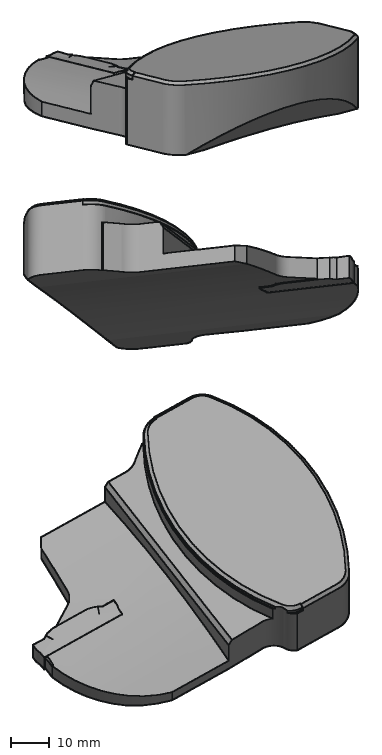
import cadquery as cq
import math

total_length = 85.9
head_height = 19.5
head_width = 70.0
head_half_width = head_width / 2
head_center_x = 65.9
head_side_radius = 60.0
head_corner_radius = 6.0
rim_chamfer_height = 0.8
rim_chamfer_width = 0.95
rim_step_depth = 1.8
rim_inset = 0.3
rim_inset_end_x = 60.4
bottom_bevel = 9.2

step_x = 40.7
step_height = 13.0
step_chamfer_run = 1.0
step_chamfer_drop = 1.6
back_y = 28.1
front_y = -30.0
neck_front_y = -29.65
blend_start_x = 50.5
blend_middle = (56.1, -32.3)
blend_end_x = 58.6

plate_crown = 7.0
plate_top_radius = 150.0
underside_crown = 1.5
underside_radius = 214.8
plate_tip_x = 0.8
plate_nose_start_y = -7.7
nose_chamfer_run = 0.7
nose_chamfer_drop = 0.4

insert_length = 25.0
insert_bottom = 1.2
insert_top = 7.0
insert_front_y = -4.55
insert_edge_y = 0.2
insert_crest_y = 1.7
tip_rise = 0.3
tip_line_start = (0.6, -3.3)
tip_line_end = (5.3, -1.1)


def head_outline(inset=0.0):
    """Two opposed arcs closed by two flats, moved inward by inset."""
    half_width = head_half_width - inset
    apex = total_length - head_center_x - inset
    radius = head_side_radius - inset
    end = apex - radius + math.sqrt(radius**2 - half_width**2)
    prism = (
        cq.Workplane("XY")
        .moveTo(head_center_x - end, -half_width)
        .lineTo(head_center_x + end, -half_width)
        .threePointArc((head_center_x + apex, 0), (head_center_x + end, half_width))
        .lineTo(head_center_x - end, half_width)
        .threePointArc((head_center_x - apex, 0), (head_center_x - end, -half_width))
        .close()
        .extrude(head_height)
    )
    return prism.edges("|Z").fillet(head_corner_radius - inset)


def left_part(solid):
    """Keep only the portion on the plate side of the rim inset end."""
    keeper = cq.Workplane("XY").box(
        rim_inset_end_x, 2 * total_length, 2 * head_height, centered=(False, True, True)
    )
    return solid.intersect(keeper)


def make_head():
    chamfered = head_outline().faces(">Z").chamfer(rim_chamfer_height, rim_chamfer_width)
    inset_rim = head_outline(rim_inset).faces(">Z").chamfer(rim_chamfer_height, rim_chamfer_width)
    step_z = head_height - rim_step_depth
    upper_left = left_part(
        cq.Workplane("XY", origin=(0, 0, step_z)).rect(3 * total_length, 3 * total_length)
        .extrude(rim_step_depth)
    )
    head = chamfered.cut(upper_left).union(inset_rim.intersect(upper_left))
    bevel = (
        cq.Workplane("XZ")
        .moveTo(total_length - bottom_bevel, 0)
        .lineTo(total_length, 0)
        .lineTo(total_length, bottom_bevel)
        .close()
        .extrude(total_length, both=True)
    )
    return head.cut(bevel)


def make_step():
    """Raised neck that runs from the plate into the head."""
    neck = (
        cq.Workplane("XY")
        .moveTo(step_x, front_y)
        .lineTo(blend_start_x, neck_front_y)
        .lineTo(blend_start_x, blend_middle[1])
        .lineTo(head_center_x, blend_middle[1])
        .lineTo(head_center_x, 33.0)
        .lineTo(55.4, 33.0)
        .lineTo(51.6, 30.1)
        .threePointArc((49.7, 28.7), (47.3, back_y))
        .lineTo(step_x, back_y)
        .close()
        .extrude(step_height)
    )
    edge = (
        cq.Workplane("XZ")
        .moveTo(step_x, step_height - step_chamfer_drop)
        .lineTo(step_x + step_chamfer_run, step_height)
        .lineTo(step_x, step_height)
        .close()
        .extrude(total_length, both=True)
    )
    return neck.cut(edge)


def round_front_corner(body):
    """Full-height concave blend from the neck into a rounded head corner."""
    corner_size = (
        head_center_x - blend_middle[0],
        head_half_width + neck_front_y,
        head_height - rim_step_depth,
    )
    corner = (
        cq.Workplane("XY")
        .box(*corner_size, centered=False)
        .translate((blend_middle[0], -head_half_width, 0))
    )
    relief = (
        cq.Workplane("XY")
        .moveTo(blend_start_x, neck_front_y)
        .threePointArc((54.0, -30.25), blend_middle)
        .threePointArc((57.1, -33.9), (blend_end_x, -head_half_width))
        .lineTo(blend_start_x, -head_half_width)
        .close()
        .extrude(head_height)
    )
    return body.union(corner).cut(relief)


def crowned_cylinder(crown, radius):
    """Long cylinder along X whose highest line lies at Z = crown."""
    return cq.Workplane("YZ").center(0, crown - radius).circle(radius).extrude(total_length)


def make_plate():
    outline = (
        cq.Workplane("XY")
        .moveTo(step_x, front_y)
        .lineTo(23.2, front_y)
        .threePointArc((7.65, -20.45), (plate_tip_x, plate_nose_start_y))
        .lineTo(plate_tip_x, insert_front_y)
        .lineTo(8.25, insert_crest_y)
        .lineTo(14.4, 5.7)
        .threePointArc((16.0, 7.2), (16.75, 9.3))
        .lineTo(18.9, 24.9)
        .lineTo(21.0, back_y)
        .lineTo(step_x, back_y)
        .close()
        .extrude(step_height)
    )
    plate = outline.intersect(crowned_cylinder(plate_crown, plate_top_radius))
    nose_chamfer = (
        cq.Workplane("XZ", origin=(0, insert_front_y, 0))
        .moveTo(plate_tip_x, plate_crown - nose_chamfer_drop)
        .lineTo(plate_tip_x + nose_chamfer_run, plate_crown)
        .lineTo(plate_tip_x, plate_crown)
        .close()
        .extrude(insert_front_y - plate_nose_start_y)
    )
    return plate.cut(nose_chamfer)


def insert_prism(bottom, top):
    """Insert outline, the same at both ends."""
    left_end = [
        (0.4, insert_front_y),
        (0.35, -2.75),
        (0.0, -1.55),
        (0.0, insert_edge_y),
        (3.5, insert_edge_y),
        (5.1, 1.2),
        (7.1, insert_crest_y),
    ]
    right_end = [(insert_length - x, y) for x, y in reversed(left_end)]
    return (
        cq.Workplane("XY", origin=(0, 0, bottom))
        .polyline(left_end + right_end)
        .close()
        .extrude(top - bottom)
    )


def make_tip():
    """Facet at the left end that climbs from the tip line to the cutting corner."""
    run_x = tip_line_end[0] - tip_line_start[0]
    run_y = tip_line_end[1] - tip_line_start[1]
    line_length = math.hypot(run_x, run_y)
    facet_depth = (run_x * (insert_edge_y - tip_line_start[1]) + run_y * tip_line_start[0]) / line_length
    slope_plane = cq.Plane(
        origin=(*tip_line_end, insert_top),
        xDir=(-run_y, run_x, 0),
        normal=(run_x, run_y, 0),
    )
    wedge = (
        cq.Workplane(slope_plane)
        .polyline([(0, 0), (2 * facet_depth, 0), (2 * facet_depth, 2 * tip_rise)])
        .close()
        .extrude(-2 * line_length)
    )
    return wedge.intersect(insert_prism(insert_top, insert_top + tip_rise))


def make_insert():
    tip = make_tip()
    other_tip = tip.mirror("YZ").translate((insert_length, 0, 0))
    return insert_prism(insert_bottom, insert_top).union(tip).union(other_tip)


def make_holder():
    body = round_front_corner(make_head().union(make_step()))
    body = body.union(make_plate())
    body = body.cut(crowned_cylinder(underside_crown, underside_radius))
    return body.cut(insert_prism(0, step_height))


holder = make_holder()
insert = make_insert()
result = cq.Compound.makeCompound([holder.solids().val(), insert.solids().val()])